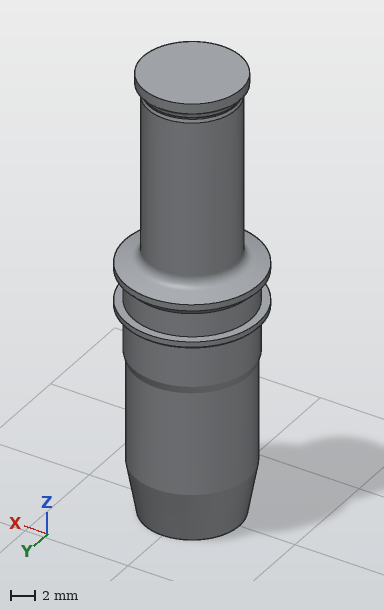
import cadquery as cq
import math

TOTAL_LENGTH = 43.0

TIP_RADIUS = 4.6
LOWER_RADIUS = 11.0 / 2
BODY_RADIUS = 11.45 / 2
FLANGE_RADIUS = 13.0 / 2
SHAFT_RADIUS = 8.5 / 2
NECK_RADIUS = 8.3 / 2
HEAD_RADIUS = 9.5 / 2

TIP_HEIGHT = 5.0
STEP_BOTTOM = 15.0
STEP_TOP = 15.8

RING_BOTTOM = 20.0
RING_TOP = 20.73
RING_CHAMFER = 0.2

FLANGE_UNDERSIDE = 23.0
FLANGE_TOP = 24.4
FLANGE_CHAMFER = FLANGE_RADIUS - BODY_RADIUS
FLANGE_SLOPE = math.radians(14)
ROOT_FILLET = 1.0

NECK_BOTTOM = 40.8
NECK_TAPER_HEIGHT = 0.3
NECK_TOP = 41.25
COLLAR_BOTTOM = 41.35
HEAD_THICKNESS = 1.0
HEAD_BOTTOM = TOTAL_LENGTH - HEAD_THICKNESS
HEAD_FILLET = 0.65


def root_fillet_points():
    """Start, middle and end of the arc joining the flange slope to the shaft."""
    start_radius = SHAFT_RADIUS + ROOT_FILLET * (1 - math.sin(FLANGE_SLOPE))
    start_z = FLANGE_TOP + (FLANGE_RADIUS - start_radius) * math.tan(FLANGE_SLOPE)
    center_radius = SHAFT_RADIUS + ROOT_FILLET
    center_z = start_z + ROOT_FILLET * math.cos(FLANGE_SLOPE)
    middle_angle = math.pi + (math.pi / 2 - FLANGE_SLOPE) / 2
    middle = (
        center_radius + ROOT_FILLET * math.cos(middle_angle),
        center_z + ROOT_FILLET * math.sin(middle_angle),
    )
    return (start_radius, start_z), middle, (SHAFT_RADIUS, center_z)


def half_profile():
    """Closed outline in the XZ plane, from the axis out and up to the head."""
    fillet_start, fillet_middle, fillet_end = root_fillet_points()
    return (
        cq.Workplane("XZ")
        .moveTo(0, 0)
        .lineTo(TIP_RADIUS, 0)
        .lineTo(LOWER_RADIUS, TIP_HEIGHT)
        .lineTo(LOWER_RADIUS, STEP_BOTTOM)
        .lineTo(BODY_RADIUS, STEP_TOP)
        .lineTo(BODY_RADIUS, RING_BOTTOM)
        .lineTo(FLANGE_RADIUS - RING_CHAMFER, RING_BOTTOM)
        .lineTo(FLANGE_RADIUS, RING_BOTTOM + RING_CHAMFER)
        .lineTo(FLANGE_RADIUS, RING_TOP)
        .lineTo(BODY_RADIUS, RING_TOP)
        .lineTo(BODY_RADIUS, FLANGE_UNDERSIDE)
        .lineTo(FLANGE_RADIUS, FLANGE_UNDERSIDE + FLANGE_CHAMFER)
        .lineTo(FLANGE_RADIUS, FLANGE_TOP)
        .lineTo(*fillet_start)
        .threePointArc(fillet_middle, fillet_end)
        .lineTo(SHAFT_RADIUS, NECK_BOTTOM)
        .lineTo(NECK_RADIUS, NECK_BOTTOM + NECK_TAPER_HEIGHT)
        .lineTo(NECK_RADIUS, NECK_TOP)
        .lineTo(SHAFT_RADIUS, COLLAR_BOTTOM)
        .radiusArc((HEAD_RADIUS, HEAD_BOTTOM), HEAD_FILLET)
        .lineTo(HEAD_RADIUS, TOTAL_LENGTH)
        .lineTo(0, TOTAL_LENGTH)
        .close()
    )


result = half_profile().revolve(360, (0, 0, 0), (0, 1, 0))